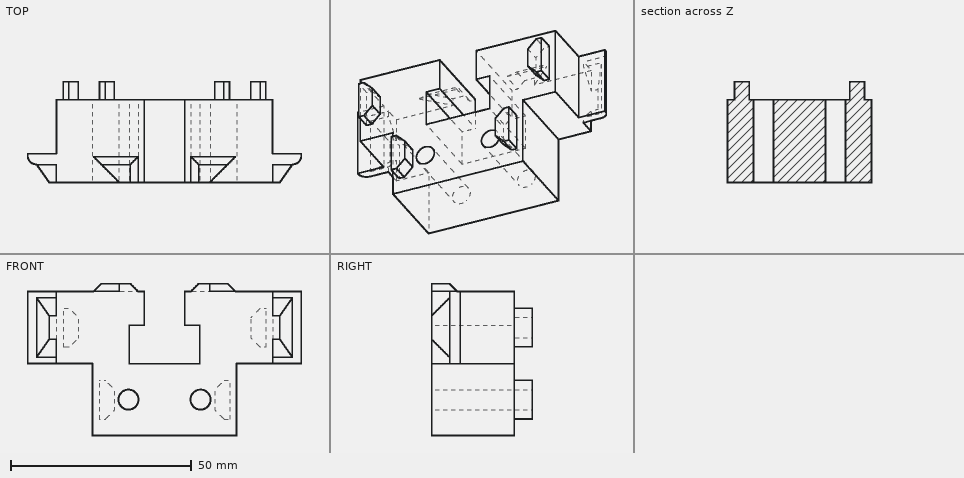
import cadquery as cq

BODY_DEPTH = 23.0
BASE_WIDTH = 40.0
BASE_HEIGHT = 20.0
HEAD_WIDTH = 60.0
HEAD_HEIGHT = 20.0
BODY_TOP = BASE_HEIGHT + HEAD_HEIGHT
HEAD_MID_Z = BASE_HEIGHT + HEAD_HEIGHT / 2

SLOT_WIDTH = 19.5
SLOT_MOUTH_WIDTH = 11.2
SLOT_LIP_Z = 30.6

HOLE_DIAMETER = 5.5
HOLE_SPACING = 20.0
HOLE_Z = BASE_HEIGHT / 2

WING_TIP_X = 38.0
WING_FRONT_Y = 5.0
WING_THICKNESS = 3.0
WING_RADIUS = 2.5

RIB_TIP_X = 32.0
RIB_BACK_HEIGHT = 16.5
RIB_FRONT_HEIGHT = RIB_BACK_HEIGHT - 2 * WING_FRONT_Y

LUG_HEIGHT = 2.2
LUG_DEPTH = 7.2
LUG_INNER_X = 7.3
LUG_FRONT_OUTER_X = 12.5

PIN_LENGTH = 5.0
PIN_WIDTH = 4.2
PIN_HEIGHT = 10.8
PIN_CHAMFER = 2.6
PIN_CENTRES = ((26.0, HEAD_MID_Z), (16.0, BASE_HEIGHT / 2))


def block(width, depth, height, z):
    """Box centred on x = 0 with its front face on y = 0 and its underside at z."""
    return cq.Workplane("XY").box(width, depth, height, centered=(True, False, False)).translate((0, 0, z))


def make_body():
    base = block(BASE_WIDTH, BODY_DEPTH, BASE_HEIGHT, 0)
    head = block(HEAD_WIDTH, BODY_DEPTH, HEAD_HEIGHT, BASE_HEIGHT)
    slot = block(SLOT_WIDTH, BODY_DEPTH, SLOT_LIP_Z - BASE_HEIGHT, BASE_HEIGHT)
    slot_mouth = block(SLOT_MOUTH_WIDTH, BODY_DEPTH, HEAD_HEIGHT, BASE_HEIGHT)
    holes = (
        cq.Workplane("XZ")
        .pushPoints([(-HOLE_SPACING / 2, HOLE_Z), (HOLE_SPACING / 2, HOLE_Z)])
        .circle(HOLE_DIAMETER / 2)
        .extrude(-BODY_DEPTH)
    )
    return base.union(head).cut(slot).cut(slot_mouth).cut(holes)


def make_wing():
    """Plate with a rounded front edge at its tip, rooted in the +X half of the head."""
    root_x = HEAD_WIDTH / 2
    wing_back_y = WING_FRONT_Y + WING_THICKNESS
    return (
        cq.Workplane("XY", origin=(0, 0, BASE_HEIGHT))
        .moveTo(root_x, WING_FRONT_Y)
        .lineTo(WING_TIP_X - WING_RADIUS, WING_FRONT_Y)
        .radiusArc((WING_TIP_X, WING_FRONT_Y + WING_RADIUS), -WING_RADIUS)
        .lineTo(WING_TIP_X, wing_back_y)
        .lineTo(root_x, wing_back_y)
        .close()
        .extrude(HEAD_HEIGHT)
    )


def make_rib():
    """Rib tapering from the wing to the front face in both width and height."""
    root_x = HEAD_WIDTH / 2
    back_width = WING_TIP_X - WING_RADIUS - root_x
    front_width = RIB_TIP_X - root_x
    return (
        cq.Workplane("XZ", origin=(root_x, WING_FRONT_Y, HEAD_MID_Z))
        .center(back_width / 2, 0)
        .rect(back_width, RIB_BACK_HEIGHT)
        .workplane(offset=WING_FRONT_Y)
        .center((front_width - back_width) / 2, 0)
        .rect(front_width, RIB_FRONT_HEIGHT)
        .loft(ruled=True)
    )


def make_lug():
    """Lug with sloping inner and back faces and an upright outer face turned 45 degrees."""
    full_lug = (
        cq.Workplane("XY", origin=(0, 0, BODY_TOP))
        .moveTo(LUG_INNER_X, 0)
        .lineTo(LUG_FRONT_OUTER_X, 0)
        .lineTo(LUG_FRONT_OUTER_X + LUG_DEPTH, LUG_DEPTH)
        .lineTo(LUG_INNER_X, LUG_DEPTH)
        .close()
        .extrude(LUG_HEIGHT)
    )
    lug_length = LUG_FRONT_OUTER_X + LUG_DEPTH - LUG_INNER_X
    inner_slope = (
        cq.Workplane("XZ", origin=(LUG_INNER_X, 0, BODY_TOP))
        .polyline([(0, 0), (LUG_HEIGHT, LUG_HEIGHT), (0, LUG_HEIGHT)])
        .close()
        .extrude(-LUG_DEPTH)
    )
    back_slope = (
        cq.Workplane("YZ", origin=(LUG_INNER_X, LUG_DEPTH, BODY_TOP))
        .polyline([(0, 0), (-LUG_HEIGHT, LUG_HEIGHT), (0, LUG_HEIGHT)])
        .close()
        .extrude(lug_length)
    )
    return full_lug.cut(inner_slope).cut(back_slope)


def make_pin(middle_x, middle_z):
    """Pin with an upright outer side and chamfered upper and lower inner corners."""
    outer_x = middle_x + PIN_WIDTH / 2
    inner_x = middle_x - PIN_WIDTH / 2
    return (
        cq.Workplane("XZ", origin=(0, BODY_DEPTH, middle_z))
        .moveTo(outer_x, -PIN_HEIGHT / 2)
        .lineTo(outer_x, PIN_HEIGHT / 2)
        .lineTo(inner_x + PIN_CHAMFER, PIN_HEIGHT / 2)
        .lineTo(inner_x, PIN_HEIGHT / 2 - PIN_CHAMFER)
        .lineTo(inner_x, PIN_CHAMFER - PIN_HEIGHT / 2)
        .lineTo(inner_x + PIN_CHAMFER, -PIN_HEIGHT / 2)
        .close()
        .extrude(-PIN_LENGTH)
    )


def add_to_both_sides(body, feature):
    return body.union(feature).union(feature.mirror("YZ"))


result = make_body()
features = [make_wing(), make_rib(), make_lug()]
features += [make_pin(middle_x, middle_z) for middle_x, middle_z in PIN_CENTRES]
for feature in features:
    result = add_to_both_sides(result, feature)